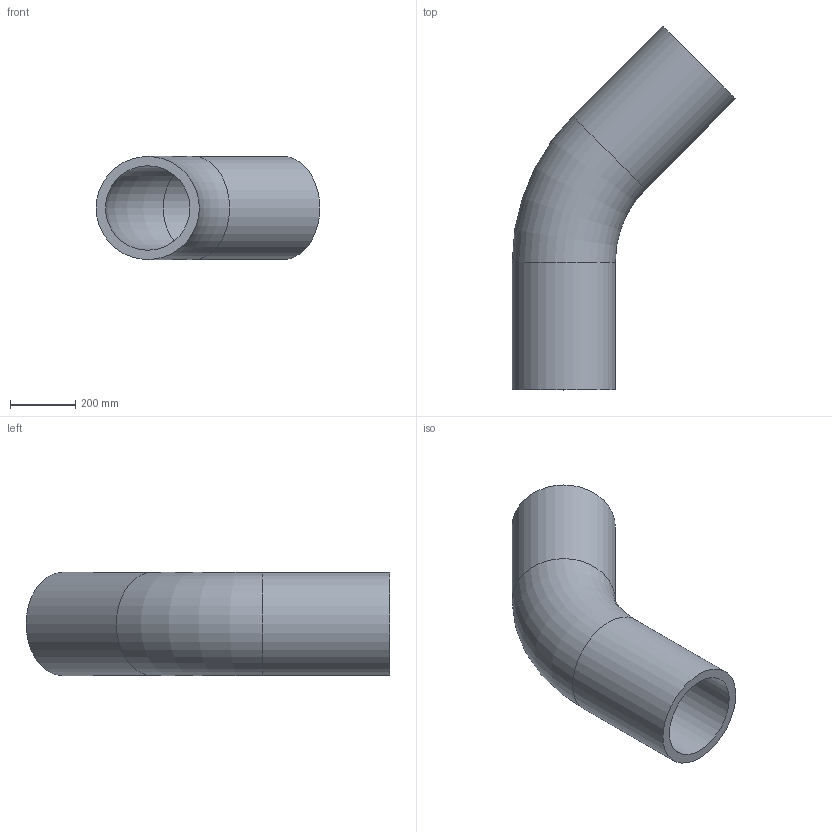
import cadquery as cq
import math

outer_diameter = 315.0
wall_thickness = 28.6
bend_radius = 473.0
bend_angle = 45.0
straight_length = 390.0

outer_radius = outer_diameter / 2
bore_radius = outer_radius - wall_thickness


def point_on_bend(angle_degrees):
    """Centreline point after turning by the given angle."""
    angle = math.radians(angle_degrees)
    x = bend_radius * (1 - math.cos(angle))
    y = straight_length + bend_radius * math.sin(angle)
    return (x, y)


def make_centreline():
    """Straight run along +Y, tangent bend, then a straight run at the bend angle."""
    bend_end_x, bend_end_y = point_on_bend(bend_angle)
    outlet_direction = math.radians(bend_angle)
    outlet = (
        bend_end_x + straight_length * math.sin(outlet_direction),
        bend_end_y + straight_length * math.cos(outlet_direction),
    )
    return (
        cq.Workplane("XY")
        .lineTo(0, straight_length)
        .threePointArc(point_on_bend(bend_angle / 2), (bend_end_x, bend_end_y))
        .lineTo(*outlet)
    )


def make_elbow():
    """Sweep the ring-shaped pipe section along the centreline."""
    section = cq.Workplane("XZ").circle(outer_radius).circle(bore_radius)
    return section.sweep(make_centreline())


result = make_elbow()